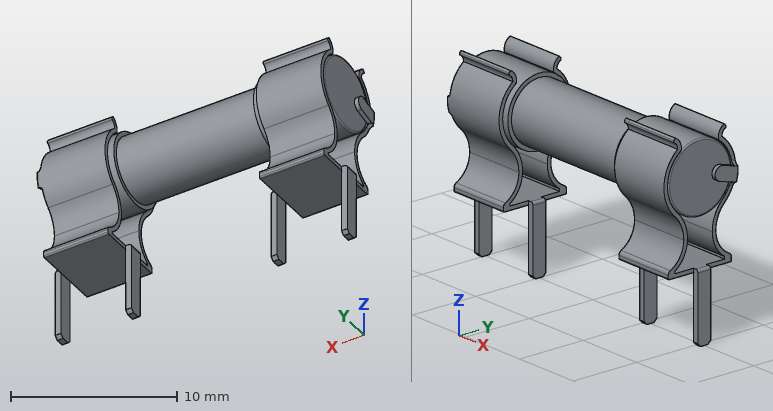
import cadquery as cq
import math


cap_radius = 2.5
cap_length = 5.01
cap_edge_radius = 0.1
tube_radius = 2.2
fuse_half_length = 9.98
fuse_height = 10.67

sheet = 0.3
clip_width = 4.6
clip_outer_x = -fuse_half_length
clip_inner_x = clip_outer_x + clip_width

grip_outside = 2.84
grip_inside = grip_outside - sheet

waist_outside = 1.27
waist_height = 6.97
lower_neck_radius = 1.91

base_half_width = 2.5
base_top = 4.97
base_bottom = base_top - sheet
fold_inside = 1.95
fold_radius = 0.3
fold_bottom_radius = 0.1

clip_height = 13.67
lip_center_y = 2.27
lip_outside = 0.52
lip_inside = lip_outside + sheet
lip_outside_end = math.radians(76)
lip_inside_end = math.radians(66)
lip_tip_radius = 0.1
lip_center_z = clip_height - lip_inside * math.sin(lip_inside_end)

leg_thickness = 0.42
leg_width = 1.02
leg_bend_radius = 0.19
leg_tip_chamfer = 0.23

finger_radius = 0.5
finger_center_y = -1.45
finger_tilt = 15.5
finger_length = 2.5
finger_edge_radius = 0.1
flare_radius = sheet

waist_drop = fuse_height - waist_height
upper_neck_radius = (waist_drop**2 + waist_outside**2 - grip_outside**2) / (
    2 * (grip_outside - waist_outside)
)
neck_top_angle = math.atan2(waist_drop, waist_outside + upper_neck_radius)


def polar(center_y, center_z, radius, angle):
    """Point (y, z) at a radius and angle from a centre, the angle taken from +Y towards +Z."""
    return center_y + radius * math.cos(angle), center_z + radius * math.sin(angle)


def grip_point(radius, angle):
    return polar(0, fuse_height, radius, angle)


def upper_neck_point(radius, angle):
    """Point on the neck at an angle above the waist."""
    return polar(waist_outside + upper_neck_radius, waist_height, radius, math.pi - angle)


def lower_neck_point(radius, angle):
    """Point on the neck at an angle below the waist."""
    return polar(waist_outside + lower_neck_radius, waist_height, radius, math.pi + angle)


def lower_neck_angle(radius, y):
    """Angle below the waist at which the neck is this far from the middle plane."""
    return math.acos((waist_outside + lower_neck_radius - y) / radius)


def lip_point(radius, angle):
    return polar(lip_center_y, lip_center_z, radius, math.pi - angle)


def lip_start(lip_radius, grip_radius):
    """Angle at which an arc of the lip leaves an arc of the grip."""
    rise = lip_center_z - fuse_height
    spacing = math.hypot(lip_center_y, rise)
    cosine = (lip_radius**2 + spacing**2 - grip_radius**2) / (2 * lip_radius * spacing)
    return math.acos(cosine) - math.atan2(rise, lip_center_y)


def half_profile(outer_x):
    """The +Y half of the clip's bent sheet, its outline extruded from outer_x to the clip's inner end."""
    upper_neck_inside = upper_neck_radius + sheet
    lower_neck_inside = lower_neck_radius + sheet
    fold_outside_angle = lower_neck_angle(lower_neck_radius, base_half_width)
    fold_inside_angle = lower_neck_angle(lower_neck_inside, fold_inside)
    lip_outside_start = lip_start(lip_outside, grip_outside)
    lip_inside_start = lip_start(lip_inside, grip_inside)
    lip_tip = lip_point(lip_outside, lip_outside_end)
    fold_top = lower_neck_point(lower_neck_radius, fold_outside_angle)

    half = (
        cq.Workplane("YZ", origin=(outer_x, 0, 0))
        .moveTo(0, base_bottom)
        .lineTo(base_half_width, base_bottom)
        .lineTo(*fold_top)
        .threePointArc(
            lower_neck_point(lower_neck_radius, fold_outside_angle / 2),
            lower_neck_point(lower_neck_radius, 0),
        )
        .threePointArc(
            upper_neck_point(upper_neck_radius, neck_top_angle / 2),
            upper_neck_point(upper_neck_radius, neck_top_angle),
        )
        .threePointArc(grip_point(grip_outside, 0), lip_point(lip_outside, lip_outside_start))
        .threePointArc(lip_point(lip_outside, (lip_outside_start + lip_outside_end) / 2), lip_tip)
        .lineTo(*lip_point(lip_inside, lip_inside_end))
        .threePointArc(
            lip_point(lip_inside, (lip_inside_start + lip_inside_end) / 2),
            lip_point(lip_inside, lip_inside_start),
        )
        .threePointArc(grip_point(grip_inside, 0), grip_point(grip_inside, -neck_top_angle))
        .threePointArc(
            upper_neck_point(upper_neck_inside, neck_top_angle / 2),
            upper_neck_point(upper_neck_inside, 0),
        )
        .threePointArc(
            lower_neck_point(lower_neck_inside, fold_inside_angle / 2),
            lower_neck_point(lower_neck_inside, fold_inside_angle),
        )
        .lineTo(fold_inside, base_top)
        .lineTo(0, base_top)
        .close()
        .extrude(clip_inner_x - outer_x)
    )
    rounded_corners = (
        (fold_top, fold_radius),
        ((base_half_width, base_bottom), fold_bottom_radius),
        (lip_tip, lip_tip_radius),
    )
    middle_x = (outer_x + clip_inner_x) / 2
    for corner, radius in rounded_corners:
        half = half.edges(cq.NearestToPointSelector((middle_x, *corner))).fillet(radius)
    return half


def leg(inner_x, outward):
    """A leg beside the base plate, standing off the face at inner_x in the outward direction."""
    blank = (
        cq.Workplane("XY")
        .box(leg_thickness, leg_width, base_top, centered=(True, True, False))
        .translate((inner_x + outward * leg_thickness / 2, 0, 0))
    )
    bent_side = ">X" if outward > 0 else "<X"
    return (
        blank.faces("<Z").edges("|X").chamfer(leg_tip_chamfer)
        .faces(">Z").edges(bent_side).fillet(leg_bend_radius)
    )


def place_finger(shape):
    """Tilt a shape built along -Y from the origin and move it to the finger's place."""
    return shape.rotate((0, 0, 0), (1, 0, 0), finger_tilt).translate(
        (clip_outer_x, finger_center_y, fuse_height)
    )


def finger_plate():
    """Round-ended plate across the cap's end face, reaching halfway into the grip wall."""
    blank = (
        cq.Workplane("YZ")
        .moveTo(0, finger_radius)
        .threePointArc((finger_radius, 0), (0, -finger_radius))
        .lineTo(-finger_length, -finger_radius)
        .lineTo(-finger_length, finger_radius)
        .close()
        .extrude(-sheet)
    )
    mid_wall_disc = (
        cq.Workplane("YZ", origin=(clip_outer_x, 0, fuse_height))
        .circle(grip_outside - sheet / 2)
        .extrude(-sheet)
    )
    return place_finger(blank).intersect(mid_wall_disc)


def finger_root():
    """Block with flared sides: the part of the grip wall that runs on into the finger."""
    root_half_width = finger_radius + flare_radius
    return place_finger(
        cq.Workplane("XZ")
        .moveTo(0, -root_half_width)
        .radiusArc((-flare_radius, -finger_radius), -flare_radius)
        .lineTo(-flare_radius, finger_radius)
        .radiusArc((0, root_half_width), -flare_radius)
        .close()
        .extrude(finger_length)
    )


def finger_half():
    """The -Y half of the sheet: one sheet thickness longer at its outer end, cut away but for the finger."""
    half = half_profile(clip_outer_x - sheet).mirror("XZ")
    waste = (
        cq.Workplane("XY")
        .box(sheet, 2 * grip_outside, 2 * fuse_height, centered=(False, True, False))
        .translate((clip_outer_x - sheet, 0, 0))
        .cut(finger_root())
    )
    finger_drop = (grip_outside + finger_center_y) * math.tan(math.radians(finger_tilt))
    outer_corner = (clip_outer_x - sheet, -grip_outside, fuse_height - finger_drop)
    return (
        half.cut(waste)
        .union(finger_plate())
        .edges(cq.NearestToPointSelector(outer_corner))
        .fillet(finger_edge_radius)
    )


def clip():
    """The clip at the -X end of the fuse."""
    return (
        half_profile(clip_outer_x)
        .union(finger_half())
        .union(leg(clip_outer_x, -1))
        .union(leg(clip_inner_x, 1))
    )


def cap():
    """The cap at the -X end of the fuse."""
    return (
        cq.Workplane("YZ", origin=(-fuse_half_length, 0, fuse_height))
        .circle(cap_radius)
        .extrude(cap_length)
        .faces("<X").edges().fillet(cap_edge_radius)
    )


def tube():
    """The fuse tube between the two caps."""
    half_length = fuse_half_length - cap_length
    return (
        cq.Workplane("YZ", origin=(-half_length, 0, fuse_height))
        .circle(tube_radius)
        .extrude(2 * half_length)
    )


bodies = [tube().val()]
for turn in (0, 180):
    for end_part in (cap(), clip()):
        bodies.append(end_part.rotate((0, 0, 0), (0, 0, 1), turn).val())

result = cq.Compound.makeCompound(bodies)